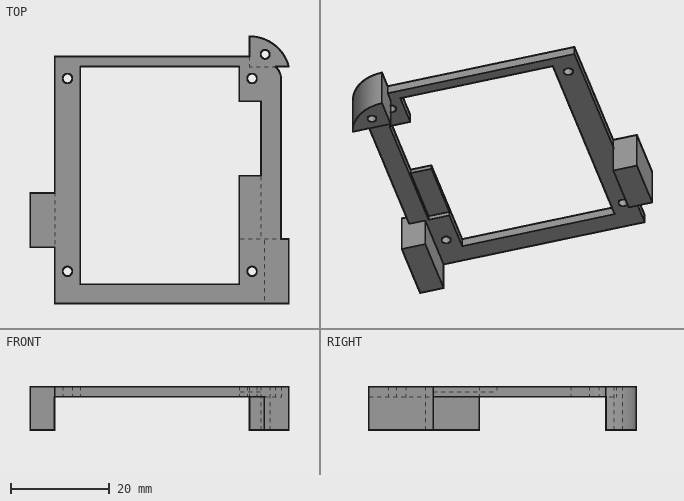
import cadquery as cq
import math

overall_width = 52.4
overall_length = 54.15
overall_height = 8.8
plate_thickness = 2.05

frame_width = 45.85
frame_length = 50.1
corner_radius = 3.25
corner_centre_y = 45.5

window_left = 5.2
window_right = 37.35
window_front = 3.95
window_back = 48.0
notch_right = 41.75
notch_front = 25.95
notch_back = 40.95

foot_width = 5.0
foot_right = overall_width - foot_width
left_foot_front = 11.4
left_foot_back = 22.4
right_foot_length = 13.1

sector_left = 39.4
sector_width = foot_right - sector_left
sector_length = overall_length - window_back
sector_radius = (sector_width**2 + sector_length**2) / (2 * sector_length)

tongue_thickness = 1.05

frame_hole_diameter = 1.9
frame_hole_xs = (2.6, 39.95)
frame_hole_ys = (6.55, 45.6)
sector_hole_diameter = 1.8
sector_hole_centre = (42.6, 50.45)

plate_bottom = overall_height - plate_thickness


def block(left, right, front, back, bottom, top):
    """Box given by its limits along X, Y and Z."""
    size = (right - left, back - front, top - bottom)
    return cq.Workplane("XY").box(*size, centered=False).translate((left, front, bottom))


def frame_plate():
    """Flat plate whose back right corner is rounded up to the sector foot."""
    rise = window_back - corner_centre_y
    centre_x = frame_width - corner_radius
    meeting_x = centre_x + math.sqrt(corner_radius**2 - rise**2)
    mid_angle = math.asin(rise / corner_radius) / 2
    arc_middle = (
        centre_x + corner_radius * math.cos(mid_angle),
        corner_centre_y + corner_radius * math.sin(mid_angle),
    )
    return (
        cq.Workplane("XY", origin=(0, 0, plate_bottom))
        .lineTo(frame_width, 0)
        .lineTo(frame_width, corner_centre_y)
        .threePointArc(arc_middle, (meeting_x, window_back))
        .lineTo(meeting_x, frame_length)
        .lineTo(0, frame_length)
        .close()
        .extrude(plate_thickness)
    )


def sector_foot():
    """Full-height foot bounded by two straight sides and an arc."""
    mid_angle = math.asin(sector_width / sector_radius) / 2
    arc_middle = (
        sector_left + sector_radius * math.sin(mid_angle),
        overall_length - sector_radius * (1 - math.cos(mid_angle)),
    )
    return (
        cq.Workplane("XY")
        .moveTo(sector_left, window_back)
        .lineTo(foot_right, window_back)
        .threePointArc(arc_middle, (sector_left, overall_length))
        .close()
        .extrude(overall_height)
    )


def holes(centres, diameter):
    """Vertical drills through the whole height."""
    return cq.Workplane("XY").pushPoints(centres).circle(diameter / 2).extrude(overall_height)


left_foot = block(-foot_width, 0, left_foot_front, left_foot_back, 0, overall_height)
right_foot = block(foot_right - foot_width, foot_right, 0, right_foot_length, 0, overall_height)
body = frame_plate().union(left_foot).union(right_foot).union(sector_foot())

window = block(window_left, window_right, window_front, window_back, plate_bottom, overall_height)
notch = block(window_right, notch_right, notch_front, notch_back, plate_bottom, overall_height)
tongue_relief = block(
    window_right, notch_right, right_foot_length, notch_front,
    plate_bottom, overall_height - tongue_thickness,
)
frame_hole_centres = [(x, y) for x in frame_hole_xs for y in frame_hole_ys]

result = (
    body.cut(window)
    .cut(notch)
    .cut(tongue_relief)
    .cut(holes(frame_hole_centres, frame_hole_diameter))
    .cut(holes([sector_hole_centre], sector_hole_diameter))
)